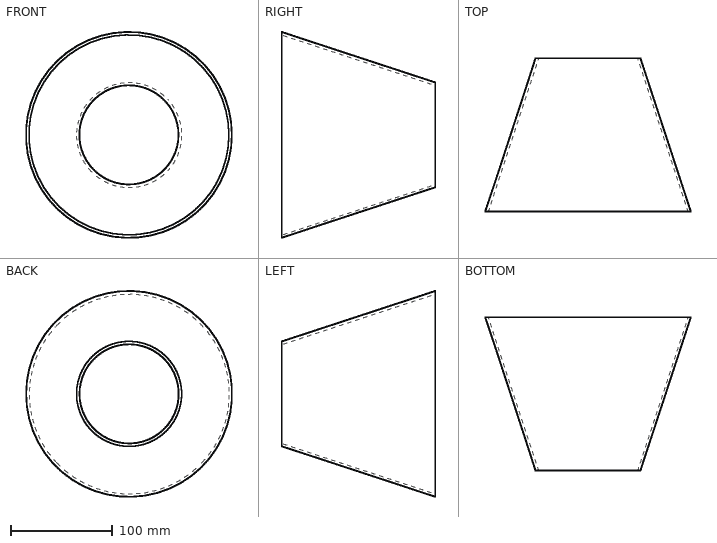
import cadquery as cq

large_diameter = 204.0
small_diameter = 104.0
length = 152.0
rim_width = 3.0

large_radius = large_diameter / 2
small_radius = small_diameter / 2

wall_section = (
    cq.Workplane("XY")
    .moveTo(large_radius - rim_width, -length / 2)
    .lineTo(large_radius, -length / 2)
    .lineTo(small_radius, length / 2)
    .lineTo(small_radius - rim_width, length / 2)
    .close()
)

result = wall_section.revolve(360, (0, 0, 0), (0, 1, 0))